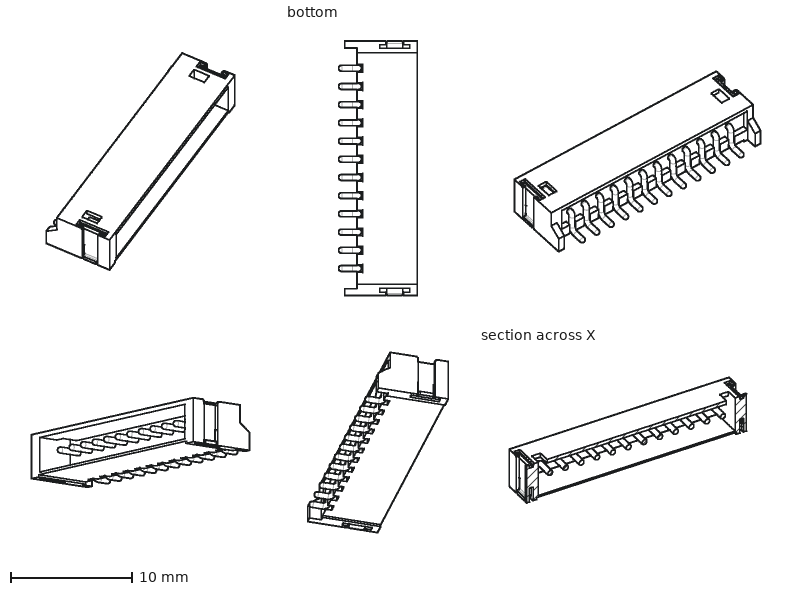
import cadquery as cq


housing_length = 21.0
housing_depth = 5.0
housing_height = 3.7
wall = 0.4
end_wall = 1.11
foot_width = 0.97
foot_height = 0.19
half_length = housing_length / 2
roof_underside = housing_height - wall
inner_length = housing_length - 2 * end_wall

ear_reach = 1.0
ear_thickness = 0.59
ear_root_height = 2.2
ear_tip_height = 1.5

recess_depth = 0.5
recess_near_end_wall = 0.6
ledge_top = 1.18
notch_width = 0.63

cavity_start = 1.76
window_length = 1.43
window_width = 0.82

contact_count = 12
contact_row_length = 16.5
contact_pitch = contact_row_length / (contact_count - 1)
contact_diameter = 0.5
contact_radius = contact_diameter / 2
tail_reach = 1.51
riser_x = 0.13
lower_bend = 0.52
upper_bend = 0.27
mating_axis_height = 2.23
mating_end = 4.0

slot_center = 3.13
slot_width = 2.48
slot_outer = 0.3
slot_inner = 0.6
mouth_width = 1.47
slot_lead_in = 0.13

tab_top = 3.4
tab_wing_bottom = 1.36
tab_leg_width = 1.35
tab_foot_thickness = 0.32
tab_inner_bend = 0.1
tab_corner = 0.1


def box(x_range, y_range, z_range):
    """Axis-aligned block between the given limits."""
    sizes = [high - low for low, high in (x_range, y_range, z_range)]
    corner = (x_range[0], y_range[0], z_range[0])
    return cq.Workplane("XY").box(*sizes, centered=False).translate(corner)


def on_both_ends(shape):
    """The shape at the -Y end together with its mirror image at the +Y end."""
    return shape.union(shape.mirror("XZ"))


def contact_positions():
    return [i * contact_pitch - contact_row_length / 2 for i in range(contact_count)]


def make_ear():
    """Sloped ear flush with the -Y end face."""
    outline = [(0, 0), (-ear_reach, 0), (-ear_reach, ear_tip_height), (0, ear_root_height)]
    ear = cq.Workplane("XZ").polyline(outline).close().extrude(-ear_thickness)
    return ear.translate((0, -half_length, 0))


def make_slot():
    """T-shaped slot at the -Y end, open to the end face, flared at the top."""
    half_slot = slot_width / 2
    half_mouth = mouth_width / 2
    outer = slot_outer - half_length
    inner = slot_inner - half_length
    outside = -half_length - slot_lead_in
    half_outline = [(half_mouth, outside), (half_mouth, outer), (half_slot, outer), (half_slot, inner)]
    mirrored = [(-x, y) for x, y in reversed(half_outline)]
    outline = [(slot_center + x, y) for x, y in half_outline + mirrored]
    slot = cq.Workplane("XY").polyline(outline).close().extrude(housing_height)
    flare = (
        cq.Workplane("XY", origin=(0, 0, housing_height))
        .polyline(outline)
        .close()
        .offset2D(slot_lead_in, "intersection")
        .extrude(-slot_lead_in, taper=45)
    )
    return slot.union(flare)


def make_housing():
    across = (-half_length, half_length)
    inside = (-inner_length / 2, inner_length / 2)
    between_feet = (foot_width - half_length, half_length - foot_width)

    housing = box((0, housing_depth), across, (0, housing_height))
    housing = housing.cut(box((0, housing_depth), between_feet, (0, foot_height)))
    housing = housing.union(on_both_ends(make_ear()))

    recess_y = (recess_near_end_wall - half_length, inside[1])
    housing = housing.cut(box((0, recess_depth), recess_y, (ledge_top, roof_underside)))
    for y in contact_positions():
        notch_sides = (y - notch_width / 2, y + notch_width / 2)
        housing = housing.cut(box((0, recess_depth), notch_sides, (0, ledge_top)))

    housing = housing.cut(box((cavity_start, housing_depth), inside, (wall, roof_underside)))
    window = box(
        (cavity_start, cavity_start + window_length),
        (inside[0], inside[0] + window_width),
        (roof_underside, housing_height),
    )
    return housing.cut(on_both_ends(window)).cut(on_both_ends(make_slot()))


def make_contact():
    """Z-shaped round contact in the plane Y = 0: tail, riser and mating pin, with domed ends."""
    tail_start = contact_radius - tail_reach
    pin_end = mating_end - contact_radius
    path = (
        cq.Workplane("XZ")
        .moveTo(tail_start, contact_radius)
        .lineTo(riser_x - lower_bend, contact_radius)
        .tangentArcPoint((lower_bend, lower_bend))
        .lineTo(riser_x, mating_axis_height - upper_bend)
        .tangentArcPoint((upper_bend, upper_bend))
        .lineTo(pin_end, mating_axis_height)
    )
    wire = cq.Workplane("YZ", origin=(tail_start, 0, contact_radius)).circle(contact_radius).sweep(path)
    tail_dome = cq.Workplane("XY").sphere(contact_radius).translate((tail_start, 0, contact_radius))
    pin_dome = cq.Workplane("XY").sphere(contact_radius).translate((pin_end, 0, mating_axis_height))
    return wire.union(tail_dome).union(pin_dome)


def make_tab():
    """Solder tab at the -Y end: winged plate in the slot, with a leg bent out to a foot."""
    plate_y = (slot_outer - half_length, slot_inner - half_length)
    wing_x = (slot_center - slot_width / 2, slot_center + slot_width / 2)
    leg_x = (slot_center - tab_leg_width / 2, slot_center + tab_leg_width / 2)

    leg = box(leg_x, plate_y, (0, tab_top))
    leg = leg.union(box(leg_x, (-half_length, plate_y[1]), (0, tab_foot_thickness)))
    bend_line = cq.selectors.NearestToPointSelector((slot_center, plate_y[0], tab_foot_thickness))
    leg = leg.edges(bend_line).fillet(tab_inner_bend)
    leg = leg.faces("<Y").edges("|Z").chamfer(tab_corner)
    leg = leg.faces(">Y").edges("<Z").fillet(tab_inner_bend + tab_foot_thickness)
    return leg.union(box(wing_x, plate_y, (tab_wing_bottom, tab_top)))


result = make_housing().union(on_both_ends(make_tab()))
contact = make_contact()
for y in contact_positions():
    result = result.union(contact.translate((0, y, 0)))